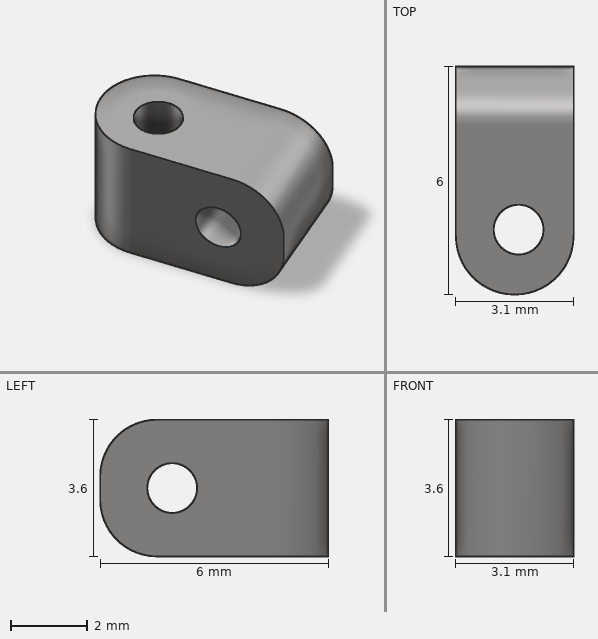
import cadquery as cq

width = 3.1
length = 6.0
height = 3.6

front_radius = width / 2
back_radius = 1.5

hole_diameter = 1.3
vertical_hole_shift = 0.1
vertical_hole_from_front = 1.71
cross_hole_from_back = 1.895

front_y = -length / 2
back_y = length / 2


def rounded_body():
    """Block with a full-round front and a back end rounded at top and bottom."""
    block = cq.Workplane("XY").box(width, length, height)
    block = block.edges(">Y and |X").fillet(back_radius)
    shoulder_y = front_y + front_radius
    plan = (
        cq.Workplane("XY", origin=(0, 0, -height / 2))
        .moveTo(-width / 2, back_y)
        .lineTo(-width / 2, shoulder_y)
        .threePointArc((0, front_y), (width / 2, shoulder_y))
        .lineTo(width / 2, back_y)
        .close()
        .extrude(height)
    )
    return block.intersect(plan)


def vertical_hole():
    """Hole along Z near the rounded front."""
    center_y = front_y + vertical_hole_from_front
    return (
        cq.Workplane("XY")
        .center(vertical_hole_shift, center_y)
        .circle(hole_diameter / 2)
        .extrude(height / 2, both=True)
    )


def cross_hole():
    """Hole along X near the back end, at mid height."""
    center_y = back_y - cross_hole_from_back
    return (
        cq.Workplane("YZ")
        .center(center_y, 0)
        .circle(hole_diameter / 2)
        .extrude(width / 2, both=True)
    )


result = rounded_body().cut(vertical_hole()).cut(cross_hole())